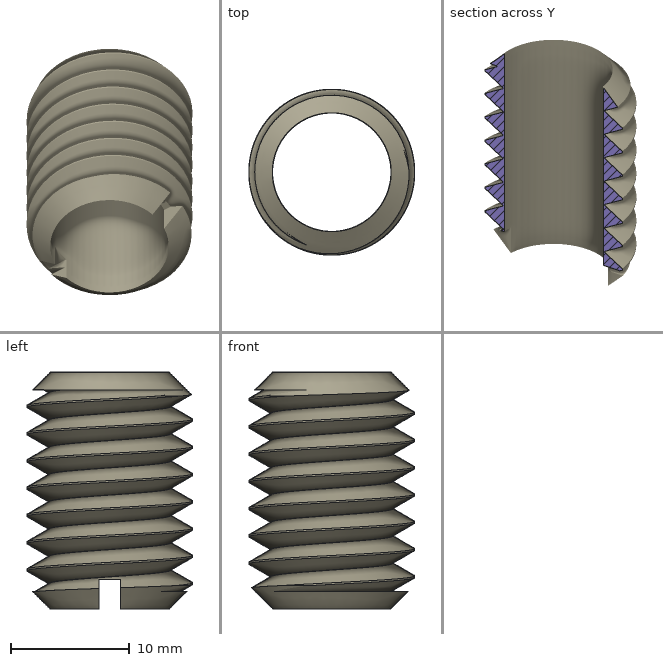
import cadquery as cq
import math


LENGTH = 20.0
OUTER_RADIUS = 7.0
BORE_RADIUS = 5.0

PITCH = 2.3
CREST_WIDTH = 0.14
ROOT_WIDTH = 0.02
FLANK_ANGLE = 30.0
CREST_HEIGHT = 0.44
PLAIN_END = 1.5

SLOT_WIDTH = 1.8
SLOT_DEPTH = 2.5

END_RADIUS = BORE_RADIUS

EXCESS = 1.0

FLANK_SLOPE = math.tan(math.radians(FLANK_ANGLE))
ROOT_RADIUS = OUTER_RADIUS - (PITCH - CREST_WIDTH - ROOT_WIDTH) / 2 / FLANK_SLOPE


def cylinder(radius, bottom, top):
    """Solid cylinder on the Z axis between two heights."""
    return cq.Workplane("XY").workplane(offset=bottom).circle(radius).extrude(top - bottom)


def make_ridge():
    """Helical thread ridge, longer than the part at both ends."""
    foot_width = PITCH - ROOT_WIDTH / 2
    foot_radius = OUTER_RADIUS - (foot_width - CREST_WIDTH) / 2 / FLANK_SLOPE

    start = CREST_HEIGHT - PITCH
    turns = math.ceil((LENGTH + EXCESS - start) / PITCH)
    path = cq.Wire.makeHelix(PITCH, turns * PITCH, foot_radius, center=cq.Vector(0, 0, start))
    profile = cq.Workplane("XZ").polyline([
        (foot_radius, start - foot_width / 2),
        (OUTER_RADIUS, start - CREST_WIDTH / 2),
        (OUTER_RADIUS, start + CREST_WIDTH / 2),
        (foot_radius, start + foot_width / 2),
    ]).close()
    return profile.sweep(cq.Workplane(path), isFrenet=True)


def make_threaded_length():
    """Core with its thread ridge, trimmed flat where the plain ends begin."""
    core = cylinder(ROOT_RADIUS, -2 * PITCH, LENGTH + 2 * PITCH)
    zone = cylinder(OUTER_RADIUS + EXCESS, PLAIN_END, LENGTH - PLAIN_END)
    return core.union(make_ridge()).intersect(zone)


def make_plain_ends():
    """Unthreaded discs that close off the thread at both ends."""
    bottom = cylinder(OUTER_RADIUS, 0, PLAIN_END)
    top = cylinder(OUTER_RADIUS, LENGTH - PLAIN_END, LENGTH)
    return bottom.union(top)


def make_end_cones():
    """Envelope whose 45 degree cones shape both ends; its waist clears the crests."""
    waist_radius = OUTER_RADIUS + EXCESS
    cone_height = waist_radius - END_RADIUS
    return (
        cq.Workplane("XZ")
        .polyline([
            (0, 0),
            (END_RADIUS, 0),
            (waist_radius, cone_height),
            (waist_radius, LENGTH - cone_height),
            (END_RADIUS, LENGTH),
            (0, LENGTH),
        ])
        .close()
        .revolve(360, (0, 0), (0, 1))
    )


def make_bore():
    """Plain through bore."""
    return cylinder(BORE_RADIUS, 0, LENGTH)


def make_slot():
    """Drive slot across the whole bottom end."""
    slot_length = 2 * (OUTER_RADIUS + EXCESS)
    return cq.Workplane("XY").rect(slot_length, SLOT_WIDTH).extrude(SLOT_DEPTH)


body = make_threaded_length().union(make_plain_ends()).intersect(make_end_cones())
result = body.cut(make_bore()).cut(make_slot())